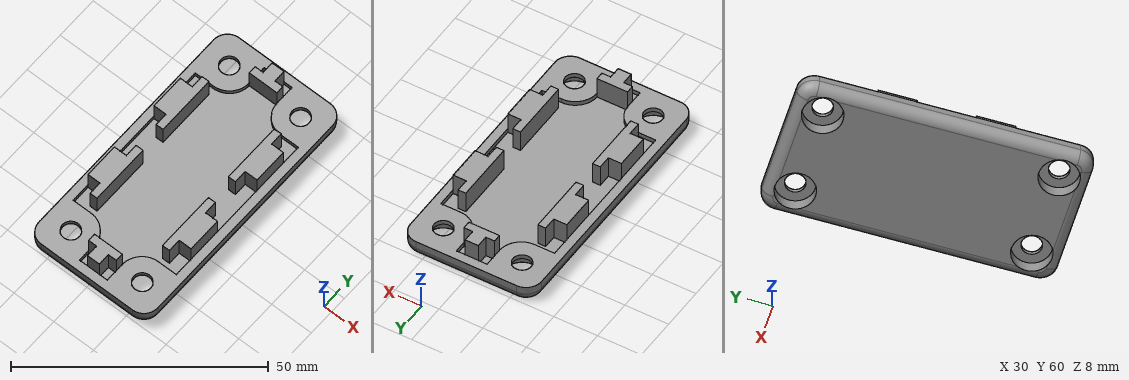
import cadquery as cq

plate_width = 30.0
plate_length = 60.0
plate_thickness = 4.0
total_height = 8.0
corner_radius = 3.5
bottom_fillet = 2.25

rim_width = 2.0
pocket_depth = 1.0
land_offset = 5.5
land_corner_radius = 5.0

hole_inset = 6.0
hole_diameter = 4.2
counterbore_diameter = 8.2
counterbore_depth = 3.0

side_post_spacing = 20.0
side_post_reach = 4.75
side_flange_length = 13.95
side_flange_thickness = 1.75
side_stem_length = 8.0

end_post_reach = 4.55
end_flange_thickness = 1.8
end_stem_width = 3.0

floor_z = plate_thickness - pocket_depth
post_height = total_height - floor_z
pocket_half_width = plate_width / 2 - rim_width
pocket_half_length = plate_length / 2 - rim_width
hole_x = plate_width / 2 - hole_inset
hole_y = plate_length / 2 - hole_inset
land_edge_x = hole_x - land_offset
land_edge_y = hole_y - land_offset
end_flange_width = 2 * land_edge_x
hole_centers = [(sx * hole_x, sy * hole_y) for sx in (-1, 1) for sy in (-1, 1)]


def box_between(x_range, y_range, bottom_z, height):
    """Upright box spanning two opposite corners in plan."""
    length_x = x_range[1] - x_range[0]
    length_y = y_range[1] - y_range[0]
    return (
        cq.Workplane("XY")
        .box(length_x, length_y, height, centered=False)
        .translate((x_range[0], y_range[0], bottom_z))
    )


def make_plate():
    """Rounded plate with a rolled bottom edge."""
    plate = cq.Workplane("XY").box(
        plate_width, plate_length, plate_thickness, centered=(True, True, False)
    )
    return plate.edges("|Z").fillet(corner_radius).faces("<Z").edges().fillet(bottom_fillet)


def make_pocket():
    """Rectangular recess that leaves a rounded corner land around each hole."""
    pocket = box_between(
        (-pocket_half_width, pocket_half_width),
        (-pocket_half_length, pocket_half_length),
        floor_z,
        pocket_depth,
    )
    arc_start_x = land_edge_x + land_corner_radius
    arc_end_y = land_edge_y + land_corner_radius
    for sx in (-1, 1):
        for sy in (-1, 1):
            land = (
                cq.Workplane("XY", origin=(0, 0, floor_z))
                .moveTo(sx * plate_width / 2, sy * land_edge_y)
                .lineTo(sx * arc_start_x, sy * land_edge_y)
                .radiusArc((sx * land_edge_x, sy * arc_end_y), sx * sy * land_corner_radius)
                .lineTo(sx * land_edge_x, sy * plate_length / 2)
                .lineTo(sx * plate_width / 2, sy * plate_length / 2)
                .close()
                .extrude(pocket_depth)
            )
            pocket = pocket.cut(land)
    return pocket


def make_screw_holes():
    """Through holes with a counterbore opening on the bottom face."""
    plan = cq.Workplane("XY").pushPoints(hole_centers)
    through = plan.circle(hole_diameter / 2).extrude(plate_thickness)
    counterbores = plan.circle(counterbore_diameter / 2).extrude(counterbore_depth)
    return through.union(counterbores)


def make_side_post():
    """T post on the +X side, centred on Y = 0, with its stem against the pocket wall."""
    flange_inner_x = pocket_half_width - side_post_reach
    flange = box_between(
        (flange_inner_x, flange_inner_x + side_flange_thickness),
        (-side_flange_length / 2, side_flange_length / 2),
        floor_z,
        post_height,
    )
    stem = box_between(
        (flange_inner_x, pocket_half_width),
        (-side_stem_length / 2, side_stem_length / 2),
        floor_z,
        post_height,
    )
    return flange.union(stem)


def make_end_post():
    """T post at the +Y end with its stem against the pocket wall."""
    flange_inner_y = pocket_half_length - end_post_reach
    flange = box_between(
        (-end_flange_width / 2, end_flange_width / 2),
        (flange_inner_y, flange_inner_y + end_flange_thickness),
        floor_z,
        post_height,
    )
    stem = box_between(
        (-end_stem_width / 2, end_stem_width / 2),
        (flange_inner_y, pocket_half_length),
        floor_z,
        post_height,
    )
    return flange.union(stem)


result = make_plate().cut(make_pocket()).cut(make_screw_holes())

side_post = make_side_post()
for sy in (-1, 1):
    shifted_post = side_post.translate((0, sy * side_post_spacing / 2, 0))
    result = result.union(shifted_post).union(shifted_post.mirror("YZ"))

end_post = make_end_post()
result = result.union(end_post).union(end_post.mirror("XZ"))